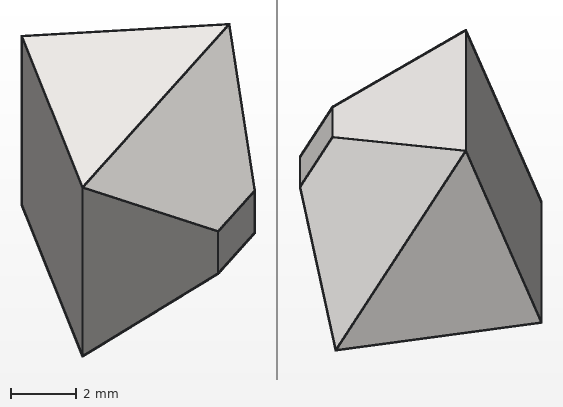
import cadquery as cq

width = 8.0
wedge_length = 5.0
frustum_length = 3.0
tip_width = 2.0


def make_wedge():
    """Upright triangular prism with its sharp edge on the -X side."""
    return (
        cq.Workplane("XY")
        .workplane(offset=-width / 2)
        .polyline([(-wedge_length, 0), (0, -width / 2), (0, width / 2)])
        .close()
        .extrude(width)
    )


def make_frustum():
    """Square frustum narrowing from the back of the wedge towards +X."""
    return (
        cq.Workplane("YZ")
        .rect(width, width)
        .workplane(offset=frustum_length)
        .rect(tip_width, tip_width)
        .loft(ruled=True)
    )


result = make_wedge().union(make_frustum())